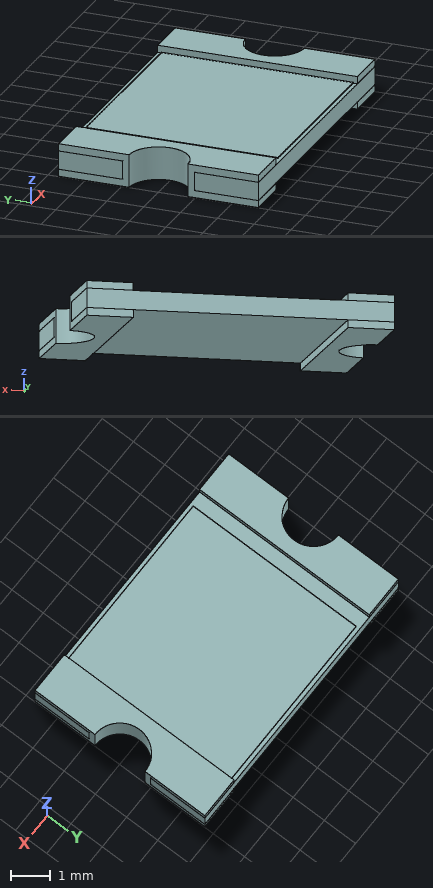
import cadquery as cq

length = 7.98
width = 5.44
height = 0.9

terminal_length = 1.205
plate_thickness = 0.2
notch_radius = 0.8
lining_thickness = 0.18

film_start = 1.6
film_margin = 0.11
film_thickness = 0.02

core_height = height - 2 * plate_thickness
core_notch_radius = notch_radius + lining_thickness
film_length = length - terminal_length - film_start
film_width = width - 2 * film_margin
end_x = length / 2


def upright_cylinder(x, radius, tall):
    """Cylinder along Z, centred on the XY plane, at the middle of the width."""
    return cq.Workplane("XY").center(x, 0).circle(radius).extrude(tall / 2, both=True)


def make_core():
    """Flat board with a half-round recess in each end for the terminal linings."""
    core = cq.Workplane("XY").box(length, width, core_height)
    for side in (-1, 1):
        core = core.cut(upright_cylinder(side * end_x, core_notch_radius, core_height))
    return core


def make_terminal(side, core):
    """Upper and lower plates joined by a half-round lining, on the end given by side."""
    block = (
        cq.Workplane("XY")
        .center(side * (end_x - terminal_length / 2), 0)
        .box(terminal_length, width, height)
    )
    notch = upright_cylinder(side * end_x, notch_radius, height)
    return block.cut(core).cut(notch)


def make_film():
    """Thin rectangular layer on the core that reaches the +X terminal."""
    return (
        cq.Workplane("XY", origin=(film_start + film_length / 2 - end_x, 0, core_height / 2))
        .rect(film_length, film_width)
        .extrude(film_thickness)
    )


core = make_core()
terminals = [make_terminal(side, core) for side in (-1, 1)]
film = make_film()

result = cq.Compound.makeCompound(
    [core.val(), film.val(), *[solid for terminal in terminals for solid in terminal.solids().vals()]]
)